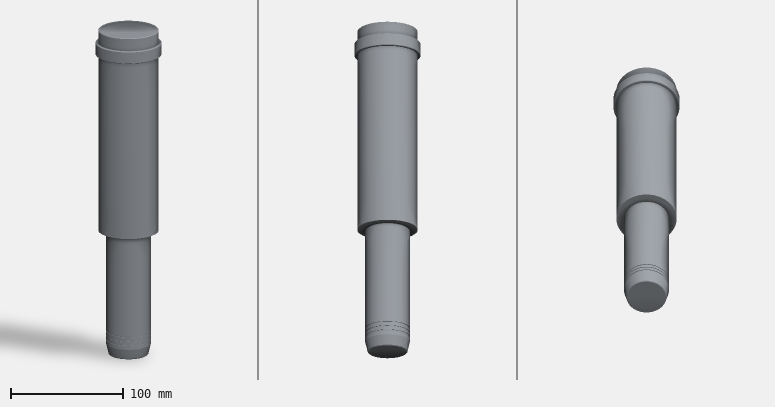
import cadquery as cq

total_height = 303.0

body_radius = 27.0
body_bottom = 115.5
body_top_chamfer = 0.5
collar_diameter = 59.0
collar_bottom = 280.0
collar_height = 11.2
collar_chamfer = 0.45

shaft_radius = 20.0
shaft_shoulder_chamfer = 1.5
groove_height = 1.0
groove_depth = 0.5
lowest_groove = 13.3
groove_pitch = 4.0
groove_count = 3

tip_height = 9.7
tip_radius = 18.0
tip_edge_chamfer = 0.5


def disc(radius, bottom, height):
    """Cylinder on the Z axis."""
    return cq.Workplane("XY").workplane(offset=bottom).circle(radius).extrude(height)


def make_body():
    body = disc(body_radius, body_bottom, total_height - body_bottom)
    return body.faces(">Z").edges().chamfer(body_top_chamfer)


def make_collar():
    collar = disc(collar_diameter / 2, collar_bottom, collar_height)
    return collar.edges("%CIRCLE").chamfer(collar_chamfer)


def make_shaft():
    """Revolved shaft with a tapered tip and a chamfered upper shoulder."""
    neck_radius = shaft_radius - shaft_shoulder_chamfer
    return (
        cq.Workplane("XZ")
        .moveTo(0, body_bottom)
        .lineTo(neck_radius, body_bottom)
        .lineTo(shaft_radius, body_bottom - shaft_shoulder_chamfer)
        .lineTo(shaft_radius, tip_height)
        .lineTo(tip_radius, tip_edge_chamfer)
        .lineTo(tip_radius - tip_edge_chamfer, 0)
        .lineTo(0, 0)
        .close()
        .revolve(360, (0, 0, 0), (0, 1, 0))
    )


def make_groove(bottom):
    """Ring to remove from the shaft surface."""
    ring = disc(shaft_radius, bottom, groove_height)
    return ring.cut(disc(shaft_radius - groove_depth, bottom, groove_height))


shaft = make_shaft()
for index in range(groove_count):
    shaft = shaft.cut(make_groove(lowest_groove + index * groove_pitch))

result = make_body().union(make_collar()).union(shaft)